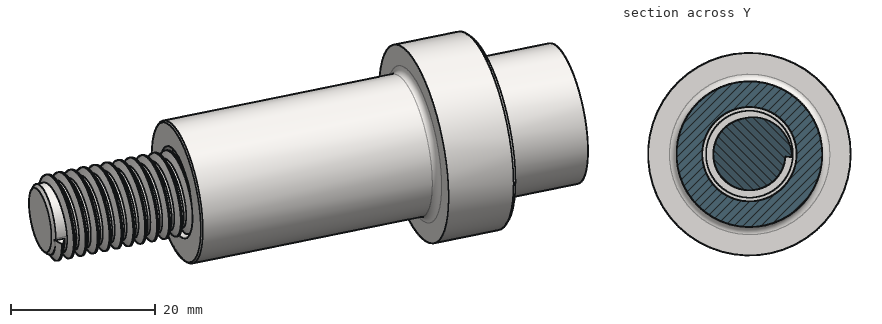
import cadquery as cq
import math


total_length = 77.0
head_length = 11.8
head_diameter = 19.9
head_gap = 0.2

collar_length = 10.0
collar_diameter = 28.0
collar_chamfer = 0.5
barrel_length = 34.95
barrel_diameter = 20.2
barrel_chamfer = 0.2
root_fillet = 1.0
bore_diameter = 13.0

thread_diameter = 12.0
thread_length = 21.0
thread_turns = 12
flank_angle = 30.0
core_diameter = 10.0
tip_chamfer = 0.5
thread_end_to_tip = 1.1
thread_end_angle = 4.0
thread_sink = 0.15

sleeve_length = collar_length + barrel_length
sleeve_top = -head_gap
collar_bottom = sleeve_top - collar_length
sleeve_bottom = sleeve_top - sleeve_length
stem_length = total_length - head_length
thread_pitch = thread_length / thread_turns
neck_length = 2 * thread_pitch
shank_length = -sleeve_bottom - neck_length
thread_height = (thread_diameter - core_diameter) / 2
flank_slope = math.tan(math.radians(flank_angle))
crest_half_width = thread_pitch / 16
base_half_width = crest_half_width + (thread_height + thread_sink) * flank_slope


def cylinder(diameter, y_start, length):
    """Cylinder on the Y axis, growing from y_start toward -Y."""
    return cq.Workplane("XZ", origin=(0, y_start, 0)).circle(diameter / 2).extrude(length)


def make_sleeve():
    """Collared sleeve with a plain clearance bore along its whole length."""
    collar = cylinder(collar_diameter, sleeve_top, collar_length).faces(">Y").chamfer(collar_chamfer)
    barrel = cylinder(barrel_diameter, collar_bottom, barrel_length)
    barrel = barrel.faces("<Y").chamfer(barrel_chamfer)
    body = collar.union(barrel)
    collar_underside = body.faces("|Y").faces(">Y[-2]")
    body = collar_underside.edges(cq.selectors.RadiusNthSelector(0)).fillet(root_fillet)
    return body.cut(cylinder(bore_diameter, sleeve_top, sleeve_length))


def make_thread_ridge():
    """Right-handed helical ridge from its end near the tip back into the bore."""
    base_radius = core_diameter / 2 - thread_sink
    helix = cq.Wire.makeHelix(thread_pitch, thread_length, base_radius)
    ridge = (
        cq.Workplane("XZ")
        .moveTo(base_radius, -base_half_width)
        .lineTo(thread_diameter / 2, -crest_half_width)
        .lineTo(thread_diameter / 2, crest_half_width)
        .lineTo(base_radius, base_half_width)
        .close()
        .sweep(cq.Workplane(obj=helix), isFrenet=True)
    )
    return (
        ridge.rotate((0, 0, 0), (1, 0, 0), -90)
        .rotate((0, 0, 0), (0, 1, 0), thread_end_angle)
        .translate((0, thread_end_to_tip - stem_length, 0))
    )


def make_screw():
    """Screw with a plain round head, a shank inside the sleeve and a threaded end."""
    head = cylinder(head_diameter, head_length, head_length)
    shank = cylinder(thread_diameter, 0, shank_length)
    core = cylinder(core_diameter, 0, stem_length).faces("<Y").chamfer(tip_chamfer)
    threaded_core = core.union(make_thread_ridge())
    return threaded_core.union(shank).union(head)


sleeve = make_sleeve()
screw = make_screw()

result = cq.Compound.makeCompound([*sleeve.solids().vals(), *screw.solids().vals()])